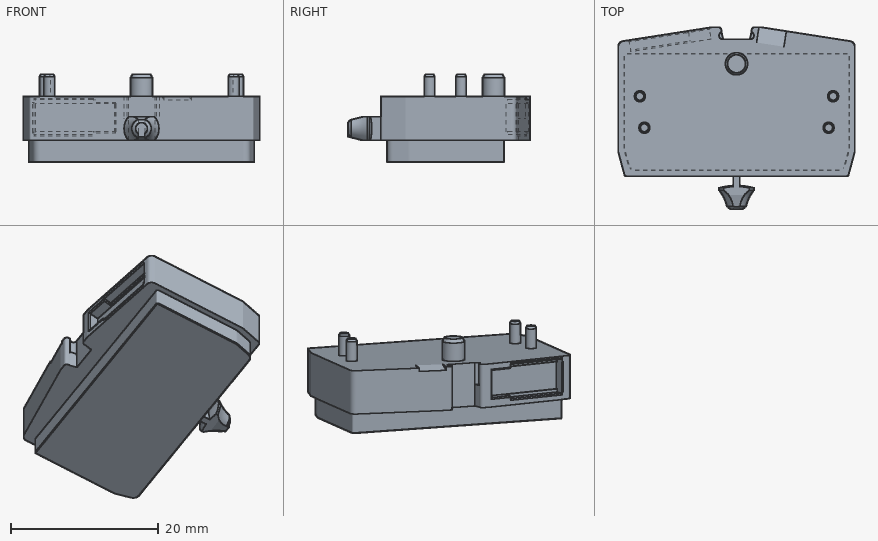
import cadquery as cq
import math

PLATE_WIDTH = 32.2
PLATE_DEPTH = 20.3
PLATE_THICKNESS = 6.0
FRONT_WIDTH = 30.4
TAPER_DEPTH = 3.35
SHOULDER_Y = 18.3
CREST_WIDTH = 6.63
FRONT_CORNER_RADIUS = 0.3
REAR_CORNER_RADIUS = 0.8

BASE_THICKNESS = 3.0
BASE_INSET = 0.75
BASE_FRONT_Y = 0.8
BASE_REAR_Y = 16.75
BASE_TAPER_Y = 3.83
BASE_CORNER_RADIUS = 1.0
BASE_REAR_RADIUS = 0.23
BASE_EDGE_CHAMFER = 0.1

NOTCH_FLOOR_Y = 18.65
NOTCH_FLOOR_HALF = 1.8
NOTCH_NECK_HALF = 2.03
NOTCH_NECK_Y = 19.65
NOTCH_LIP_RADIUS = 0.45
LOBE_X = 1.9
LOBE_RADIUS = 0.48
LOBE_DEPTH = 3.0

WEDGE_START_X = 3.05
WEDGE_LENGTH = 3.77
WEDGE_REACH = 2.15
WEDGE_DROP = 0.45

POCKET_START_X = -14.65
POCKET_CHAMFER = 0.2
NARROW_DEPTH = 1.55
NARROW_END_X = -3.75
NARROW_BOTTOM_Z = 1.25
NARROW_TOP_Z = 5.02
WIDE_DEPTH = 1.35
WIDE_END_X = -6.57
WIDE_BOTTOM_Z = 0.85
WIDE_TOP_Z = 5.57

PIN_HEIGHT = 3.03
MAIN_PIN_RADIUS = 1.5
MAIN_PIN_Y = 15.3
MAIN_PIN_BEVEL = 0.3
SIDE_PIN_RADIUS = 0.75
SIDE_PIN_BEVEL = 0.2
SIDE_PIN_PLACES = [(13.15, 10.88), (12.53, 6.6)]
PIN_BEVEL_ANGLE = math.radians(60)

KNOB_HEIGHT = 3.22
KNOB_LENGTH = 4.5
KNOB_BACK = 1.22
KNOB_RIM_START = 1.58
KNOB_RIM_END = 1.87
KNOB_FLANK_END = 4.05
KNOB_RIM_RADIUS = 2.38
KNOB_NECK_RADIUS = 1.32
KNOB_TIP_RADIUS = 0.8
KNOB_BACK_MIDPOINT = (1.2, -1.32)
KNOB_FLANK_MIDPOINT = (1.7, -2.95)
KNOB_FLAT_END = 2.5
KNOB_NECK_HALF_HEIGHT = 1.22
STEM_WIDTH = 0.93

slope_angle = math.atan2(PLATE_DEPTH - SHOULDER_Y, (PLATE_WIDTH - CREST_WIDTH) / 2)


def slope_y(x):
    """Y of the rear slopes at a given X."""
    return PLATE_DEPTH - (abs(x) - CREST_WIDTH / 2) * math.tan(slope_angle)


def edges_between(first_y, last_y):
    """Selector for edges whose centre lies between two Y values, anywhere in X and Z."""
    margin = 0.32
    return cq.selectors.BoxSelector(
        (-PLATE_WIDTH, first_y - margin, -PLATE_THICKNESS),
        (PLATE_WIDTH, last_y + margin, 2 * PLATE_THICKNESS),
    )


def make_plate():
    half = PLATE_WIDTH / 2
    plate = (
        cq.Workplane("XY")
        .moveTo(-FRONT_WIDTH / 2, 0)
        .lineTo(FRONT_WIDTH / 2, 0)
        .lineTo(half, TAPER_DEPTH)
        .lineTo(half, SHOULDER_Y)
        .lineTo(CREST_WIDTH / 2, PLATE_DEPTH)
        .lineTo(-CREST_WIDTH / 2, PLATE_DEPTH)
        .lineTo(-half, SHOULDER_Y)
        .lineTo(-half, TAPER_DEPTH)
        .close()
        .extrude(PLATE_THICKNESS)
    )
    plate = plate.edges("|Z and <Y").fillet(FRONT_CORNER_RADIUS)
    rear_corners = edges_between(SHOULDER_Y, SHOULDER_Y)
    return plate.edges("|Z").edges(rear_corners).fillet(REAR_CORNER_RADIUS)


def make_base():
    half = PLATE_WIDTH / 2 - BASE_INSET
    taper = (PLATE_WIDTH - FRONT_WIDTH) / 2 / TAPER_DEPTH
    front_half = half - (BASE_TAPER_Y - BASE_FRONT_Y) * taper
    base = (
        cq.Workplane("XY")
        .moveTo(-front_half, BASE_FRONT_Y)
        .lineTo(front_half, BASE_FRONT_Y)
        .lineTo(half, BASE_TAPER_Y)
        .lineTo(half, BASE_REAR_Y)
        .lineTo(-half, BASE_REAR_Y)
        .lineTo(-half, BASE_TAPER_Y)
        .close()
        .extrude(-BASE_THICKNESS)
    )
    base = base.edges("|Z and >Y").fillet(BASE_REAR_RADIUS)
    front_corners = edges_between(BASE_FRONT_Y, BASE_TAPER_Y)
    base = base.edges("|Z").edges(front_corners).fillet(BASE_CORNER_RADIUS)
    return base.faces("<Z").edges().chamfer(BASE_EDGE_CHAMFER)


def make_notch():
    lip_half = NOTCH_NECK_HALF + NOTCH_LIP_RADIUS
    lip_y = PLATE_DEPTH - NOTCH_LIP_RADIUS
    arc_offset = NOTCH_LIP_RADIUS * (1 - math.sqrt(0.5))
    notch = (
        cq.Workplane("XY")
        .moveTo(-NOTCH_FLOOR_HALF, NOTCH_FLOOR_Y)
        .lineTo(NOTCH_FLOOR_HALF, NOTCH_FLOOR_Y)
        .lineTo(NOTCH_NECK_HALF, NOTCH_NECK_Y)
        .lineTo(NOTCH_NECK_HALF, lip_y)
        .threePointArc((NOTCH_NECK_HALF + arc_offset, PLATE_DEPTH - arc_offset), (lip_half, PLATE_DEPTH))
        .lineTo(-lip_half, PLATE_DEPTH)
        .threePointArc((-NOTCH_NECK_HALF - arc_offset, PLATE_DEPTH - arc_offset), (-NOTCH_NECK_HALF, lip_y))
        .lineTo(-NOTCH_NECK_HALF, NOTCH_NECK_Y)
        .close()
        .extrude(PLATE_THICKNESS)
    )
    lobe_y = NOTCH_FLOOR_Y + LOBE_RADIUS
    lobes = (
        cq.Workplane("XY")
        .workplane(offset=PLATE_THICKNESS - LOBE_DEPTH)
        .pushPoints([(-LOBE_X, lobe_y), (LOBE_X, lobe_y)])
        .circle(LOBE_RADIUS)
        .extrude(LOBE_DEPTH)
    )
    return notch.union(lobes)


def make_wedge():
    """Wedge that deepens from nothing inside the plate to its full drop at the slope."""
    section = cq.Plane(
        origin=(WEDGE_START_X, slope_y(WEDGE_START_X), PLATE_THICKNESS),
        xDir=(math.sin(slope_angle), math.cos(slope_angle), 0),
        normal=(math.cos(slope_angle), -math.sin(slope_angle), 0),
    )
    overrun = 0.65
    deepest = WEDGE_DROP * (WEDGE_REACH + overrun) / WEDGE_REACH
    return (
        cq.Workplane(section)
        .polyline([(-WEDGE_REACH, 0), (overrun, 0), (overrun, -deepest)])
        .close()
        .extrude(WEDGE_LENGTH)
    )


def make_slope_recess(end_x, bottom_z, top_z, depth, end_flare):
    """Rectangular recess square to the left rear slope, with chamfered upper and lower mouth edges.

    The end edges of the mouth are moved outward by end_flare and chamfered too.
    """
    mid_x = (POCKET_START_X + end_x) / 2
    length = (end_x - POCKET_START_X) / math.cos(slope_angle)
    height = top_z - bottom_z
    mouth = cq.Plane(
        origin=(mid_x, slope_y(mid_x), (bottom_z + top_z) / 2),
        xDir=(math.cos(slope_angle), math.sin(slope_angle), 0),
        normal=(-math.sin(slope_angle), math.cos(slope_angle), 0),
    )
    recess = cq.Workplane(mouth).rect(length, height).extrude(-depth)
    flare = (
        cq.Workplane(mouth)
        .rect(length + 2 * end_flare, height + 2 * POCKET_CHAMFER)
        .extrude(-POCKET_CHAMFER, taper=45)
    )
    return recess.union(flare)


def make_pin(x, y, radius, bevel):
    pin = cq.Workplane("XY").workplane(offset=PLATE_THICKNESS).center(x, y).circle(radius).extrude(PIN_HEIGHT)
    return pin.faces(">Z").chamfer(bevel * math.tan(PIN_BEVEL_ANGLE), bevel)


def make_knob():
    """Knob axis runs along -Y at half the knob height."""
    half = KNOB_HEIGHT / 2
    head = (
        cq.Workplane("XY")
        .moveTo(0, -KNOB_BACK)
        .threePointArc(KNOB_BACK_MIDPOINT, (KNOB_RIM_RADIUS, -KNOB_RIM_START))
        .lineTo(KNOB_RIM_RADIUS, -KNOB_RIM_END)
        .threePointArc(KNOB_FLANK_MIDPOINT, (KNOB_NECK_RADIUS, -KNOB_FLANK_END))
        .lineTo(KNOB_TIP_RADIUS, -KNOB_LENGTH)
        .lineTo(0, -KNOB_LENGTH)
        .close()
        .revolve(360, (0, 0, 0), (0, 1, 0))
    )
    drop = (half - KNOB_NECK_HALF_HEIGHT) / (KNOB_FLANK_END - KNOB_FLAT_END)
    tip_half = half - drop * (KNOB_LENGTH - KNOB_FLAT_END)
    trim = (
        cq.Workplane("YZ")
        .polyline([
            (0, half),
            (-KNOB_FLAT_END, half),
            (-KNOB_LENGTH, tip_half),
            (-KNOB_LENGTH, -tip_half),
            (-KNOB_FLAT_END, -half),
            (0, -half),
        ])
        .close()
        .extrude(KNOB_RIM_RADIUS, both=True)
    )
    stem = (
        cq.Workplane("XY")
        .box(STEM_WIDTH, KNOB_FLAT_END, KNOB_HEIGHT)
        .translate((0, -KNOB_FLAT_END / 2, 0))
    )
    keel = (
        cq.Workplane("XY")
        .box(STEM_WIDTH, KNOB_LENGTH, half, centered=(True, False, False))
        .translate((0, -KNOB_LENGTH, -half))
    )
    return head.union(stem).union(keel).intersect(trim).translate((0, 0, half))


result = make_plate().union(make_base())
result = result.cut(make_notch()).cut(make_wedge())
result = result.cut(make_slope_recess(WIDE_END_X, WIDE_BOTTOM_Z, WIDE_TOP_Z, WIDE_DEPTH, 0))
result = result.cut(
    make_slope_recess(NARROW_END_X, NARROW_BOTTOM_Z, NARROW_TOP_Z, NARROW_DEPTH, POCKET_CHAMFER)
)
result = result.union(make_pin(0, MAIN_PIN_Y, MAIN_PIN_RADIUS, MAIN_PIN_BEVEL))
for pin_x, pin_y in SIDE_PIN_PLACES:
    for side in (-1, 1):
        result = result.union(make_pin(side * pin_x, pin_y, SIDE_PIN_RADIUS, SIDE_PIN_BEVEL))
result = result.union(make_knob())